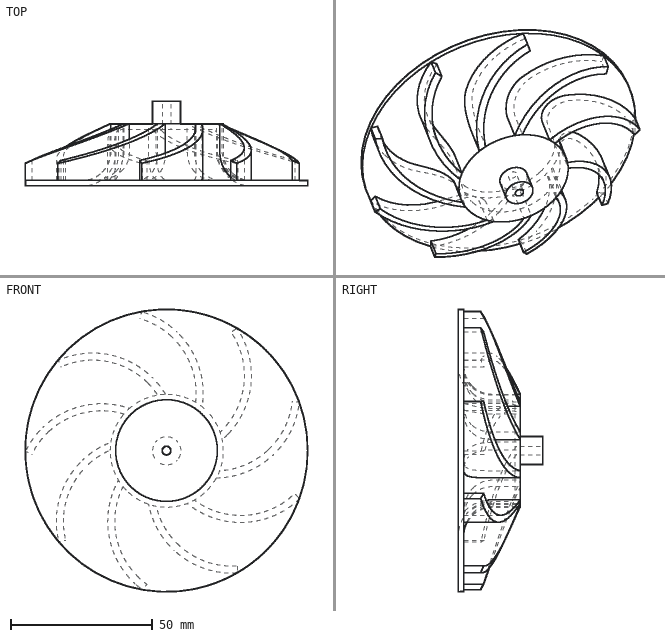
import cadquery as cq
import math

plate_radius = 50.0
plate_thickness = 2.0
hub_radius = 20.0
hub_height = 22.0
wall = 2.0
flare_radius = 10.0
bore_radius = hub_radius - wall
mouth_radius = flare_radius + wall
bore_fillet = 2.0
recess_depth = hub_height - wall

shaft_radius = 5.0
shaft_end = 30.0
hole_radius = 1.5

blade_count = 9
blade_thickness = 2.5
blade_outer_radius = 30.0
blade_arc_offset = 26.6
blade_tip_height = 8.0
blade_root_angle = -60.0


def revolve_about_y(profile):
    return profile.close().revolve(360, (0, 0, 0), (0, 1, 0))


def make_shell():
    quarter = math.sqrt(0.5)
    flare_center = (hub_radius + flare_radius, plate_thickness + flare_radius)
    flare_middle = (flare_center[0] - flare_radius * quarter, flare_center[1] - flare_radius * quarter)
    mouth_middle = (flare_center[0] - mouth_radius * quarter, flare_center[1] - mouth_radius * quarter)
    fillet_center = (bore_radius - bore_fillet, recess_depth - bore_fillet)
    fillet_middle = (fillet_center[0] + bore_fillet * quarter, fillet_center[1] + bore_fillet * quarter)
    profile = (
        cq.Workplane("XY")
        .moveTo(0, hub_height)
        .lineTo(hub_radius, hub_height)
        .lineTo(hub_radius, flare_center[1])
        .threePointArc(flare_middle, (flare_center[0], plate_thickness))
        .lineTo(plate_radius, plate_thickness)
        .lineTo(plate_radius, 0)
        .lineTo(flare_center[0], 0)
        .threePointArc(mouth_middle, (bore_radius, flare_center[1]))
        .lineTo(bore_radius, fillet_center[1])
        .threePointArc(fillet_middle, (fillet_center[0], recess_depth))
        .lineTo(0, recess_depth)
    )
    return revolve_about_y(profile)


def make_blade_envelope():
    """Conical ring that limits the blades, rooted in the middle of the shell wall."""
    root_radius = hub_radius - wall / 2
    root_flare = flare_radius + wall / 2
    center_x = hub_radius + flare_radius
    center_y = plate_thickness + flare_radius
    root_middle = (center_x - root_flare * math.sqrt(0.5), center_y - root_flare * math.sqrt(0.5))
    plate_middle = plate_thickness / 2
    profile = (
        cq.Workplane("XY")
        .moveTo(root_radius, hub_height)
        .lineTo(hub_radius, hub_height)
        .lineTo(plate_radius, blade_tip_height)
        .lineTo(plate_radius, plate_middle)
        .lineTo(center_x, plate_middle)
        .threePointArc(root_middle, (root_radius, center_y))
    )
    return revolve_about_y(profile)


def make_blade():
    """Arc-shaped strip whose convex face meets the plate rim at its tip."""
    tip_sine = (plate_radius**2 - blade_arc_offset**2 - blade_outer_radius**2) / (
        2 * blade_arc_offset * blade_outer_radius
    )
    tip_angle = math.degrees(math.asin(tip_sine))
    middle_angle = (blade_root_angle + tip_angle) / 2
    blade_inner_radius = blade_outer_radius - blade_thickness

    def arc_point(radius, angle):
        turn = math.radians(angle)
        return (radius * math.cos(turn), blade_arc_offset + radius * math.sin(turn))

    return (
        cq.Workplane("XZ")
        .moveTo(*arc_point(blade_outer_radius, blade_root_angle))
        .threePointArc(arc_point(blade_outer_radius, middle_angle), arc_point(blade_outer_radius, tip_angle))
        .lineTo(*arc_point(blade_inner_radius, tip_angle))
        .threePointArc(
            arc_point(blade_inner_radius, middle_angle),
            arc_point(blade_inner_radius, blade_root_angle),
        )
        .close()
        .extrude(-hub_height)
        .intersect(make_blade_envelope())
    )


def make_cylinder(radius, start, end):
    return cq.Workplane("XZ", origin=(0, start, 0)).circle(radius).extrude(start - end)


result = make_shell().union(make_cylinder(shaft_radius, recess_depth + wall / 2, shaft_end))

blade = make_blade()
for index in range(blade_count):
    result = result.union(blade.rotate((0, 0, 0), (0, 1, 0), index * 360 / blade_count))

result = result.cut(make_cylinder(hole_radius, 0, shaft_end))